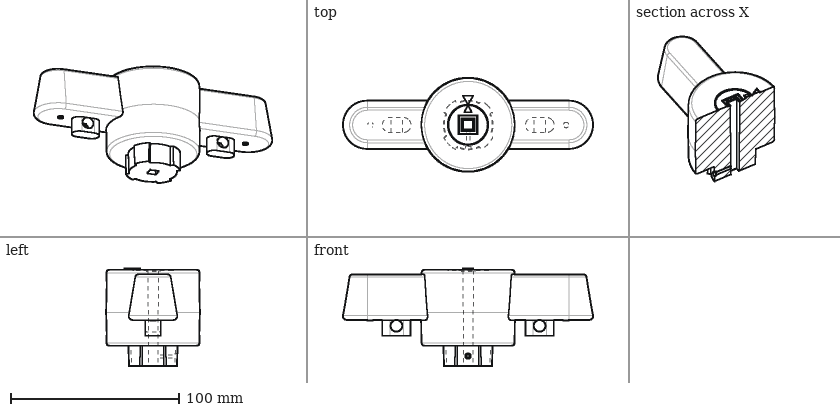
import cadquery as cq
import math

overall_length = 148.7
overall_height = 58.0

hub_bottom = 12.0
hub_top = 57.3
hub_parting_z = 32.0
hub_widest_diameter = 56.0
hub_end_radius = 27.7
hub_edge_fillet = 1.8

wing_bottom = 27.4
wing_top = 54.5
wing_draft = 9.6
wing_end_center_x = 60.0
wing_bottom_fillet = 2.4
wing_top_fillet = 1.8

post_x = 42.5
post_bottom = 18.0
post_length = 17.0
post_width = 8.9
post_hole_diameter = 6.8
post_hole_z = 24.0

pip_x = 58.2
pip_diameter = 3.3
pip_height = 0.5

stem_core_bottom_radius = 14.3
stem_core_top_radius = 14.7
tab_tip_radius = 16.4
tab_bottom_width = 9.0
tab_top_width = 10.0
tab_count = 4
first_tab_angle = 45
pin_recess_diameter = 3.3
pin_recess_depth = 1.5
pin_hole_diameter = 1.8
pin_hole_z = 6.0

groove_inner_radius = 11.6
groove_outer_radius = 12.0
groove_depth = 0.5
socket_mouth_width = 11.3
socket_floor_width = 10.5
socket_step_width = 7.7
socket_step_depth = 0.5
bore_top_width = 6.2
bore_bottom_width = 5.5
outer_arrow_base_y = 17.1
outer_arrow_tip_y = 12.2
outer_arrow_width = 6.1
inner_arrow_base_y = 7.6
inner_arrow_tip_y = 11.7
inner_arrow_width = 4.3


def square_frustum(bottom_width, top_width, bottom, top):
    """Square block on the Z axis whose width changes evenly from bottom to top."""
    return (
        cq.Workplane("XY", origin=(0, 0, bottom))
        .rect(bottom_width, bottom_width)
        .workplane(offset=top - bottom)
        .rect(top_width, top_width)
        .loft(ruled=True)
    )


def make_hub():
    profile = [
        (0, hub_bottom),
        (hub_end_radius, hub_bottom),
        (hub_widest_diameter / 2, hub_parting_z),
        (hub_end_radius, hub_top),
        (0, hub_top),
    ]
    hub = cq.Workplane("XZ").polyline(profile).close().revolve(360, (0, 0), (0, 1))
    return hub.faces("<Z or >Z").edges().fillet(hub_edge_fillet)


def make_wings():
    draft = math.radians(wing_draft)
    fillet_trim = wing_bottom_fillet * (math.tan(draft) + 1 / math.cos(draft) - 1)
    end_radius = overall_length / 2 - wing_end_center_x + fillet_trim
    wings = (
        cq.Workplane("XY", origin=(0, 0, wing_bottom))
        .slot2D(2 * (wing_end_center_x + end_radius), 2 * end_radius)
        .extrude(wing_top - wing_bottom, taper=wing_draft)
    )
    wings = wings.faces("<Z").edges().fillet(wing_bottom_fillet)
    return wings.faces(">Z").edges().fillet(wing_top_fillet)


def make_posts():
    posts = (
        cq.Workplane("XY", origin=(0, 0, post_bottom))
        .pushPoints([(-post_x, 0), (post_x, 0)])
        .slot2D(post_length, post_width)
        .extrude(wing_bottom - post_bottom)
    )
    cross_holes = (
        cq.Workplane("XZ", origin=(0, 0, post_hole_z))
        .pushPoints([(-post_x, 0), (post_x, 0)])
        .circle(post_hole_diameter / 2)
        .extrude(post_width, both=True)
    )
    return posts.cut(cross_holes)


def make_pips():
    return (
        cq.Workplane("XY", origin=(0, 0, wing_bottom - pip_height))
        .pushPoints([(-pip_x, 0), (pip_x, 0)])
        .circle(pip_diameter / 2)
        .extrude(pip_height)
    )


def make_stem():
    core = (
        cq.Workplane("XY")
        .circle(stem_core_bottom_radius)
        .workplane(offset=hub_bottom)
        .circle(stem_core_top_radius)
        .loft()
    )
    tab = (
        cq.Workplane("XY")
        .center(tab_tip_radius / 2, 0)
        .rect(tab_tip_radius, tab_bottom_width)
        .workplane(offset=hub_bottom)
        .rect(tab_tip_radius, tab_top_width)
        .loft(ruled=True)
    )
    tab = tab.intersect(cq.Workplane("XY").circle(tab_tip_radius).extrude(hub_bottom))
    for index in range(tab_count):
        angle = first_tab_angle + index * 360 / tab_count
        core = core.union(tab.rotate((0, 0, 0), (0, 0, 1), angle))
    return core


def make_pin_hole():
    """Recessed radial hole from the -Y side of the stem to the square bore."""
    hole = (
        cq.Workplane("XZ", origin=(0, 0, pin_hole_z))
        .circle(pin_hole_diameter / 2)
        .extrude(tab_tip_radius)
    )
    recess_floor_y = pin_recess_depth - stem_core_bottom_radius
    recess = (
        cq.Workplane("XZ", origin=(0, recess_floor_y, pin_hole_z))
        .circle(pin_recess_diameter / 2)
        .extrude(tab_tip_radius + recess_floor_y)
    )
    return hole.union(recess)


def make_ring_groove():
    return (
        cq.Workplane("XY", origin=(0, 0, hub_top - groove_depth))
        .circle(groove_outer_radius)
        .circle(groove_inner_radius)
        .extrude(groove_depth)
    )


def make_socket():
    """Shallow flared mouth, then a smaller step, then a tapered through bore."""
    floor_z = hub_top - socket_step_depth
    step_z = floor_z - socket_step_depth
    mouth = square_frustum(socket_floor_width, socket_mouth_width, floor_z, hub_top)
    step = square_frustum(socket_step_width, socket_step_width, step_z, floor_z)
    bore = square_frustum(bore_bottom_width, bore_top_width, 0, step_z)
    return mouth.union(step).union(bore)


def make_arrow(base_y, tip_y, width):
    bottom = hub_top - groove_depth
    return (
        cq.Workplane("XY", origin=(0, 0, bottom))
        .polyline([(-width / 2, base_y), (width / 2, base_y), (0, tip_y)])
        .close()
        .extrude(overall_height - bottom)
    )


result = (
    make_hub()
    .union(make_wings())
    .union(make_posts())
    .union(make_pips())
    .union(make_stem())
    .cut(make_pin_hole())
    .cut(make_ring_groove())
    .cut(make_socket())
    .union(make_arrow(outer_arrow_base_y, outer_arrow_tip_y, outer_arrow_width))
    .union(make_arrow(inner_arrow_base_y, inner_arrow_tip_y, inner_arrow_width))
)